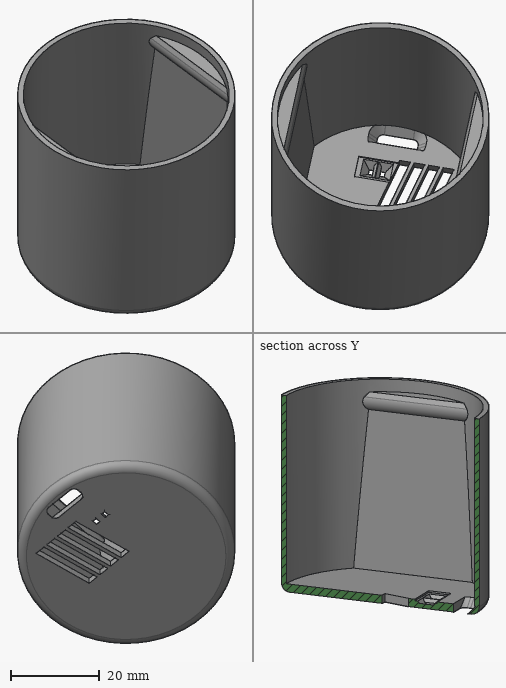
import cadquery as cq

outer_diameter = 49.0
inner_diameter = 46.4
height = 46.0
floor_thickness = 2.0
bottom_fillet = 2.0

shelf_drop = 2.95
shelf_edge_y = 20.1
bevel_end_y = 19.45
bevel_height = 1.15
bead_middle_y = 19.25
bead_height = 3.0
wall_top_y = 19.95
wall_foot_y = 18.0

vent_count = 4
vent_left_x = 0.5
vent_right_x = 14.6
vent_first_y = 1.35
vent_width = 2.45
vent_pitch = 3.35
vent_fall = 3.05

recess_depth = 0.4
recess_center_x = 11.25
recess_width = 5.4
recess_length = 9.2
funnel_center_x = 11.4
funnel_center_y = 3.0
funnel_pitch = 2.65
funnel_hole_width = 1.15
funnel_hole_length = 1.0
funnel_depth = floor_thickness - recess_depth
divider_bevel = 0.75

port_center_x = 19.85
port_center_y = -0.15
port_width = 3.5
port_length = 9.3
port_corner = 1.3
port_flare = 1.95


def cup():
    body = cq.Workplane("XY").circle(outer_diameter / 2).extrude(height)
    body = body.faces("<Z").edges().fillet(bottom_fillet)
    bore = cq.Workplane("XY").workplane(offset=floor_thickness).circle(inner_diameter / 2).extrude(height)
    return body.cut(bore)


def side_wall():
    """Wall on the +Y side, with a shelf, a bevel and a rounded bead along its top."""
    shelf_z = height - shelf_drop
    bevel_z = shelf_z - bevel_height
    bead_bottom_z = bevel_z - bead_height
    rim_y = outer_diameter / 2
    profile = (
        cq.Workplane("YZ", origin=(-outer_diameter / 2, 0, 0))
        .moveTo(rim_y, shelf_z)
        .lineTo(shelf_edge_y, shelf_z)
        .lineTo(bevel_end_y, bevel_z)
        .threePointArc((bead_middle_y, bevel_z - bead_height / 2), (wall_top_y, bead_bottom_z))
        .lineTo(wall_foot_y, floor_thickness)
        .lineTo(rim_y, floor_thickness)
        .close()
        .extrude(outer_diameter)
    )
    mid_wall_diameter = (outer_diameter + inner_diameter) / 2
    return profile.intersect(cq.Workplane("XY").circle(mid_wall_diameter / 2).extrude(height))


def vent(index):
    top_y = vent_first_y - index * vent_pitch
    corners = [
        (vent_left_x, top_y),
        (vent_right_x, top_y - vent_fall),
        (vent_right_x, top_y - vent_fall - vent_width),
        (vent_left_x, top_y - vent_width),
    ]
    return cq.Workplane("XY").polyline(corners).close().extrude(floor_thickness)


def recess():
    return (
        cq.Workplane("XY", origin=(recess_center_x, funnel_center_y, funnel_depth))
        .rect(recess_width, recess_length)
        .extrude(recess_depth)
    )


def funnels():
    """Two overlapping 45 degree funnels, kept apart by a bar with a bevelled top."""
    mouth_width = funnel_hole_width + 2 * funnel_depth
    mouth_length = funnel_hole_length + 2 * funnel_depth
    cutter = cq.Workplane("XY")
    for side in (-1, 1):
        hole_y = funnel_center_y + side * funnel_pitch / 2
        cutter = cutter.add(
            cq.Workplane("XY", origin=(funnel_center_x, hole_y, 0))
            .rect(funnel_hole_width, funnel_hole_length)
            .workplane(offset=funnel_depth)
            .rect(mouth_width, mouth_length)
            .loft(ruled=True)
        )
    cutter = cutter.combine()

    bar_half_width = (funnel_pitch - funnel_hole_length) / 2
    ridge_half_width = bar_half_width - divider_bevel
    bevel_z = funnel_depth - divider_bevel
    bar = (
        cq.Workplane("YZ", origin=(funnel_center_x - mouth_width / 2, funnel_center_y, 0))
        .moveTo(-bar_half_width, 0)
        .lineTo(-bar_half_width, bevel_z)
        .lineTo(-ridge_half_width, funnel_depth)
        .lineTo(ridge_half_width, funnel_depth)
        .lineTo(bar_half_width, bevel_z)
        .lineTo(bar_half_width, 0)
        .close()
        .extrude(mouth_width)
    )
    return cutter.cut(bar)


def rounded_rectangle(width, length, corner):
    return cq.Sketch().rect(width, length).vertices().fillet(corner)


def port():
    """Port that flares towards the inside on every side but its straight -X side."""
    mouth_width = port_width + 2 * port_flare
    mouth_length = port_length + 2 * port_flare
    flared = (
        cq.Workplane("XY", origin=(port_center_x, port_center_y, 0))
        .placeSketch(
            rounded_rectangle(port_width, port_length, port_corner),
            rounded_rectangle(mouth_width, mouth_length, port_corner + port_flare).moved(
                cq.Location(cq.Vector(0, 0, floor_thickness))
            ),
        )
        .loft()
    )
    straight_side_x = port_center_x - port_width / 2
    keep = cq.Workplane("XY", origin=(straight_side_x, port_center_y, 0)).box(
        mouth_width, mouth_length, floor_thickness, centered=(False, True, False)
    )
    return flared.intersect(keep)


wall = side_wall()
result = cup().union(wall).union(wall.mirror("XZ"))
for vent_index in range(vent_count):
    result = result.cut(vent(vent_index))
result = result.cut(recess()).cut(funnels()).cut(port())